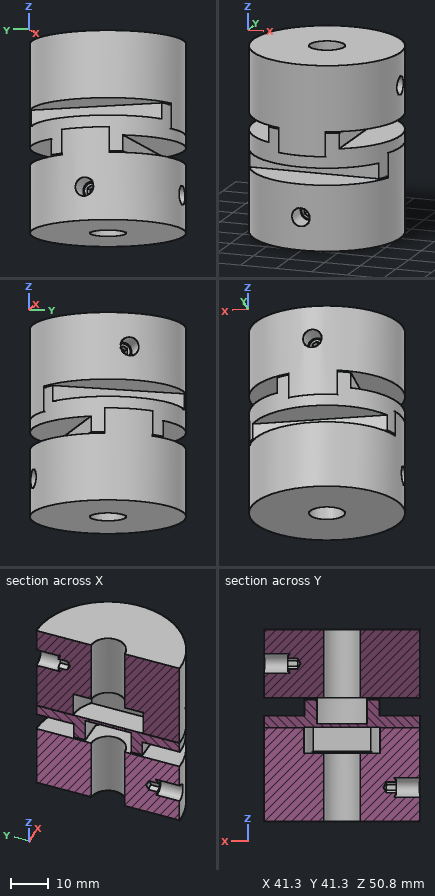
import cadquery as cq
import math

coupling_diameter = 41.275
coupling_length = 50.8
mid_height = coupling_length / 2

hub_body_length = 18.1
bore_diameter = 9.525
tongue_width = 13.1
tongue_relief_diameter = 20.0

rail_width = 19.84
rail_clearance = 0.4
disc_web_thickness = 5.25
groove_floor_thickness = 1.0

tongue_tip_height = mid_height - groove_floor_thickness / 2
disc_bottom = hub_body_length + rail_clearance
disc_height = coupling_length - 2 * disc_bottom
rail_height = (disc_height - disc_web_thickness) / 2
groove_depth = (disc_height - groove_floor_thickness) / 2

screw_diameter = 5.0
screw_length = 9.525
screw_chamfer = 0.5
screw_height = hub_body_length / 2
socket_across_flats = 2.4
socket_depth = 2.5
socket_cone_angle = 120

coupling_radius = coupling_diameter / 2
screw_radius = screw_diameter / 2
bore_radius = bore_diameter / 2
screw_face_radius = bore_radius + screw_length
socket_corner_radius = socket_across_flats / math.sqrt(3)
socket_cone_depth = socket_corner_radius / math.tan(math.radians(socket_cone_angle / 2))

cutter_length = 2 * coupling_diameter


def make_set_screw_cavity():
    """Empty space around the outer end of a set screw that points along +X."""
    face = cq.Workplane("YZ").workplane(offset=screw_face_radius)
    hole = face.circle(screw_radius).extrude(coupling_radius - screw_face_radius)

    chamfer_ring = (
        cq.Workplane("XY")
        .moveTo(screw_face_radius, screw_radius - screw_chamfer)
        .lineTo(screw_face_radius, screw_radius)
        .lineTo(screw_face_radius - screw_chamfer, screw_radius)
        .close()
        .revolve(360, (0, 0, 0), (1, 0, 0))
    )

    socket_end = screw_face_radius - socket_depth
    socket_envelope = (
        cq.Workplane("XY")
        .moveTo(screw_face_radius, 0)
        .lineTo(screw_face_radius, socket_corner_radius)
        .lineTo(socket_end, socket_corner_radius)
        .lineTo(socket_end - socket_cone_depth, 0)
        .close()
        .revolve(360, (0, 0, 0), (1, 0, 0))
    )
    hexagon = (
        face.polygon(6, 2 * socket_corner_radius)
        .extrude(-socket_depth - socket_cone_depth)
        .rotate((0, 0, 0), (1, 0, 0), 90)
    )
    socket = hexagon.intersect(socket_envelope)
    cavity = hole.union(chamfer_ring).union(socket)
    return cavity.translate((0, 0, screw_height))


def make_side_blocks(gap_width, bottom, height):
    """Two blocks along X, wider than the coupling, with a gap between them centred on Y = 0."""
    block_width = coupling_diameter
    block_offset = (gap_width + block_width) / 2
    return (
        cq.Workplane("XY")
        .workplane(offset=bottom)
        .pushPoints([(0, -block_offset), (0, block_offset)])
        .rect(cutter_length, block_width)
        .extrude(height)
    )


def make_hub():
    """Lower hub: its tongue runs along X and its set screws face -X and -Y."""
    hub = cq.Workplane("XY").circle(coupling_radius).extrude(tongue_tip_height)

    tongue_height = tongue_tip_height - hub_body_length
    face = cq.Workplane("XY").workplane(offset=hub_body_length)
    around_tongue = make_side_blocks(tongue_width, hub_body_length, tongue_height)
    tongue_relief = face.circle(tongue_relief_diameter / 2).extrude(tongue_height)
    bore = cq.Workplane("XY").circle(bore_radius).extrude(hub_body_length)
    hub = hub.cut(around_tongue).cut(tongue_relief).cut(bore)

    for screw_direction in (180, 270):
        cavity = make_set_screw_cavity()
        hub = hub.cut(cavity.rotate((0, 0, 0), (0, 0, 1), screw_direction))
    return hub


def make_disc():
    """Centre disc: crossed rails, each with a groove for one hub's tongue."""
    disc = cq.Workplane("XY").workplane(offset=disc_bottom).circle(coupling_radius).extrude(disc_height)

    beside_rails = make_side_blocks(rail_width, disc_bottom, rail_height)
    groove = (
        cq.Workplane("XY")
        .workplane(offset=disc_bottom)
        .rect(cutter_length, tongue_width)
        .extrude(groove_depth)
    )
    lower_cut = beside_rails.union(groove)
    return disc.cut(lower_cut).cut(turn_over(lower_cut))


def turn_over(lower_part):
    """Turn a part end for end about the horizontal diagonal that swaps X with -Y."""
    return lower_part.rotate((0, 0, mid_height), (1, -1, mid_height), 180)


lower_hub = make_hub()
upper_hub = turn_over(make_hub())
centre_disc = make_disc()

result = cq.Compound.makeCompound([lower_hub.val(), centre_disc.val(), upper_hub.val()])